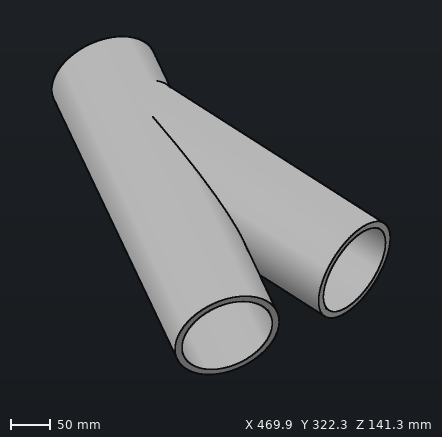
import cadquery as cq
import math

outer_diameter = 141.3
wall_thickness = 9.525
bore_diameter = outer_diameter - 2 * wall_thickness

run_length = 469.9
run_start_to_branch = 88.9
branch_length = 381.0
branch_angle = 30.0

run_start = cq.Vector(-run_start_to_branch, 0, 0)
run_direction = cq.Vector(1, 0, 0)

branch_start = cq.Vector(0, 0, 0)
branch_direction = cq.Vector(
    math.cos(math.radians(branch_angle)),
    math.sin(math.radians(branch_angle)),
    0,
)


def make_run(diameter):
    """Cylinder along the full length of the run."""
    return cq.Workplane(cq.Solid.makeCylinder(diameter / 2, run_length, run_start, run_direction))


def make_branch(diameter):
    """Cylinder from the meeting point of the axes to the open end of the branch."""
    return cq.Workplane(cq.Solid.makeCylinder(diameter / 2, branch_length, branch_start, branch_direction))


body = make_run(outer_diameter).union(make_branch(outer_diameter))
result = body.cut(make_run(bore_diameter)).cut(make_branch(bore_diameter))